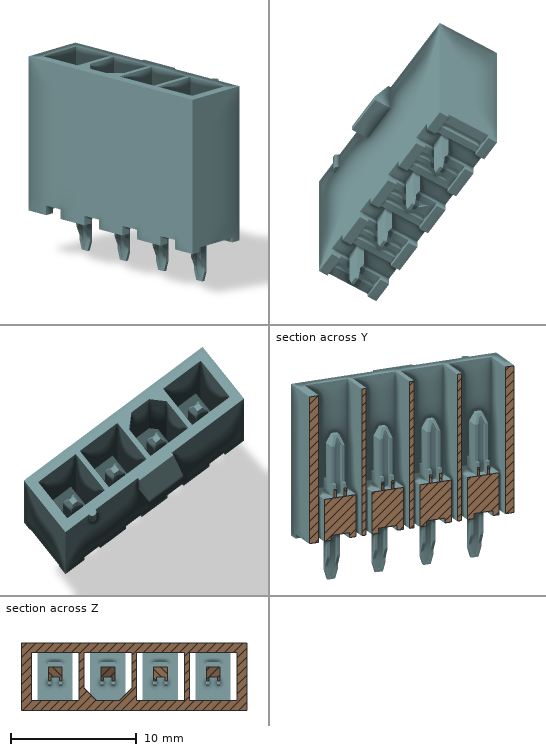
import cadquery as cq

HOUSING_LENGTH = 18.0
HOUSING_DEPTH = 5.4
HOUSING_HEIGHT = 12.8
WALL = 0.81

CONTACT_COUNT = 4
CONTACT_PITCH = 4.2
CONTACT_XS = [(i - (CONTACT_COUNT - 1) / 2) * CONTACT_PITCH for i in range(CONTACT_COUNT)]

CAVITY_SIZE = HOUSING_DEPTH - 2 * WALL
CAVITY_FLOOR_Z = 3.96
FLOOR_BLOCK_WIDTH = 2.8
KEYED_CAVITY = 1
KEY_CHAMFER = 0.99

SIDE_RELIEF_HEIGHT = 0.38
NOTCH_WIDTH = 1.58
NOTCH_HEIGHT = 0.8

LATCH_WIDTH = 3.4
LATCH_HEIGHT = 3.0
LATCH_REACH = 1.5
LATCH_TOP_REACH = 0.23
LATCH_LIP = 0.5
RIB_RADIUS = 0.32
RIB_HEIGHT = 1.8
RIB_X = CONTACT_XS[-1]

PIN_WIDTH = 1.13
PIN_BACK_Y = 3.87
PIN_BOTTOM_Z = -3.51
PIN_TOP_Z = 9.0
RIM = 0.25

STEM_DEPTH = 0.63
BLADE_THICKNESS = 0.25
STEM_CHANNEL_WEB = 0.2
BEND_TOP_Z = -1.51
BEND_BOTTOM_Z = -2.34
BEND_RADIUS = 0.6
STEM_TIP_WIDTH = 0.65
STEM_TIP_LENGTH = 0.8

FOOT_DEPTH = 1.89
FOOT_HEIGHT = 1.08
FOOT_LEAN = 0.07

SHAFT_BACK_STEP = 0.4
SHAFT_TIP_WIDTH = 0.49
SHAFT_TIP_LENGTH = 0.86


def box(x_range, y_range, z_range):
    """Box between the given limits on each axis."""
    (x0, x1), (y0, y1), (z0, z1) = x_range, y_range, z_range
    return cq.Workplane("XY").box(x1 - x0, y1 - y0, z1 - z0, centered=False).translate((x0, y0, z0))


def centred(x, width):
    return (x - width / 2, x + width / 2)


INNER_Y = (WALL, WALL + CAVITY_SIZE)
FOOT_TOP_Z = CAVITY_FLOOR_Z + FOOT_HEIGHT
STEM_FRONT_Y = PIN_BACK_Y - STEM_DEPTH
BLADE_FRONT_Y = PIN_BACK_Y - BLADE_THICKNESS
FOOT_FRONT_Y = PIN_BACK_Y - FOOT_DEPTH
SHAFT_BACK_Y = PIN_BACK_Y - SHAFT_BACK_STEP
SHAFT_FRONT_Y = SHAFT_BACK_Y - PIN_WIDTH
SHAFT_TIP_INSET = (PIN_WIDTH - SHAFT_TIP_WIDTH) / 2


def cavity(x, keyed):
    """Space above the floor block, plus a slot down each side of that block."""
    sides = centred(x, CAVITY_SIZE)
    space = box(sides, INNER_Y, (0, HOUSING_HEIGHT))
    if keyed:
        space = space.edges("|Z and <Y").chamfer(KEY_CHAMFER)
    return space.cut(box(centred(x, FLOOR_BLOCK_WIDTH), INNER_Y, (0, CAVITY_FLOOR_Z)))


def underside_notch(x):
    return box(centred(x, NOTCH_WIDTH), (0, HOUSING_DEPTH), (0, NOTCH_HEIGHT))


def pin_hole(x):
    return box(centred(x, PIN_WIDTH), (STEM_FRONT_Y, PIN_BACK_Y), (0, CAVITY_FLOOR_Z))


def latch():
    back = HOUSING_DEPTH
    bottom = HOUSING_HEIGHT - LATCH_HEIGHT
    outline = [
        (back, bottom),
        (back + LATCH_REACH, bottom),
        (back + LATCH_REACH, bottom + LATCH_LIP),
        (back + LATCH_TOP_REACH, HOUSING_HEIGHT),
        (back, HOUSING_HEIGHT),
    ]
    return cq.Workplane("YZ").polyline(outline).close().extrude(LATCH_WIDTH / 2, both=True)


def rib():
    """Half-round rib; its inner half lies inside the back wall."""
    base = cq.Workplane("XY", origin=(RIB_X, HOUSING_DEPTH, HOUSING_HEIGHT - RIB_HEIGHT))
    return base.circle(RIB_RADIUS).extrude(RIB_HEIGHT)


def make_housing():
    ends = centred(0, HOUSING_LENGTH)
    body = box(ends, (0, HOUSING_DEPTH), (0, HOUSING_HEIGHT))
    body = body.union(latch()).union(rib())
    body = body.cut(box(ends, INNER_Y, (0, SIDE_RELIEF_HEIGHT)))
    for index, x in enumerate(CONTACT_XS):
        body = body.cut(cavity(x, index == KEYED_CAVITY))
        body = body.cut(underside_notch(x))
        body = body.cut(pin_hole(x))
    return body


def pin_side_shape():
    """Side outline of the pin, swept across its width."""
    blade_bends = [(STEM_FRONT_Y, BEND_TOP_Z), (BLADE_FRONT_Y, BEND_BOTTOM_Z)]
    outline = [
        (PIN_BACK_Y, PIN_BOTTOM_Z),
        (PIN_BACK_Y, FOOT_TOP_Z),
        (SHAFT_BACK_Y, FOOT_TOP_Z),
        (SHAFT_BACK_Y, PIN_TOP_Z - SHAFT_TIP_LENGTH),
        (SHAFT_BACK_Y - SHAFT_TIP_INSET, PIN_TOP_Z),
        (SHAFT_FRONT_Y + SHAFT_TIP_INSET, PIN_TOP_Z),
        (SHAFT_FRONT_Y, PIN_TOP_Z - SHAFT_TIP_LENGTH),
        (SHAFT_FRONT_Y, FOOT_TOP_Z),
        (FOOT_FRONT_Y + FOOT_LEAN, FOOT_TOP_Z),
        (FOOT_FRONT_Y, CAVITY_FLOOR_Z),
        (STEM_FRONT_Y, CAVITY_FLOOR_Z),
        *blade_bends,
        (BLADE_FRONT_Y, PIN_BOTTOM_Z),
    ]
    shape = cq.Workplane("YZ").polyline(outline).close().extrude(PIN_WIDTH / 2, both=True)
    for y, z in blade_bends:
        bend = cq.selectors.NearestToPointSelector((0, y, z))
        shape = shape.edges("|X").edges(bend).fillet(BEND_RADIUS)
    return shape


def pin_front_prism(inset, front_y, back_y):
    """Front outline of the pin, moved inwards by inset and swept from front_y to back_y."""
    half_width = PIN_WIDTH / 2
    right_side = [
        (STEM_TIP_WIDTH / 2, PIN_BOTTOM_Z),
        (half_width, PIN_BOTTOM_Z + STEM_TIP_LENGTH),
        (half_width, PIN_TOP_Z - SHAFT_TIP_LENGTH),
        (SHAFT_TIP_WIDTH / 2, PIN_TOP_Z),
    ]
    left_side = [(-x, z) for x, z in reversed(right_side)]
    outline = cq.Workplane("XZ", origin=(0, front_y, 0)).polyline(right_side + left_side).close()
    if inset:
        outline = outline.offset2D(-inset, "intersection")
    return outline.extrude(front_y - back_y)


def pin_channel():
    """Front channel: deep along the stem, and reaching the tip's front edge along the shaft."""
    sides = centred(0, PIN_WIDTH)
    stem_floor_y = PIN_BACK_Y - STEM_CHANNEL_WEB
    shaft_floor_y = SHAFT_FRONT_Y + SHAFT_TIP_INSET
    stem_zone = box(sides, (FOOT_FRONT_Y, stem_floor_y), (PIN_BOTTOM_Z, CAVITY_FLOOR_Z))
    shaft_zone = box(sides, (FOOT_FRONT_Y, shaft_floor_y), (CAVITY_FLOOR_Z, PIN_TOP_Z))
    return pin_front_prism(RIM, FOOT_FRONT_Y, PIN_BACK_Y).intersect(stem_zone.union(shaft_zone))


def make_pin():
    """One pin, centred on X = 0."""
    pin = pin_side_shape().intersect(pin_front_prism(0, FOOT_FRONT_Y, PIN_BACK_Y))
    return pin.cut(pin_channel())


housing = make_housing()
pins = [make_pin().translate((x, 0, 0)) for x in CONTACT_XS]

result = cq.Compound.makeCompound([housing.val(), *[pin.val() for pin in pins]])